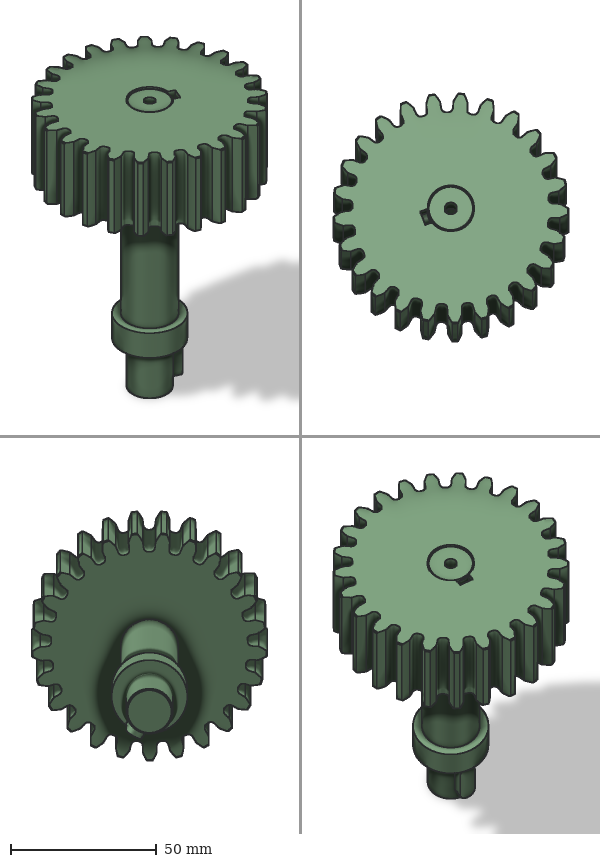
import cadquery as cq
import math

total_height = 117.0
end_diameter = 16.0
collar_diameter = 26.0
body_diameter = 19.9
end_length = 20.0
collar_length = 10.1
shaft_end_chamfer = 0.5
body_top_chamfer = 0.4
collar_fillet_radius = 0.2
center_hole_diameter = 4.2
center_hole_depth = 10.0
drill_point_angle = 118.0

tooth_count = 25
gear_outer_diameter = 81.0
gear_width = 30.1
dedendum_factor = 1.25
root_fillet_radius = 1.6
tip_chamfer = 0.4
space_overrun = 1.2

gear_module = gear_outer_diameter / (tooth_count + 2)
gear_outer_radius = gear_outer_diameter / 2
pitch_radius = gear_module * tooth_count / 2
root_radius = pitch_radius - dedendum_factor * gear_module
half_pitch_angle = math.pi / tooth_count

shoulder_radius = pitch_radius
addendum_middle_radius = (shoulder_radius + gear_outer_radius) / 2
tooth_half_width = 2.5
addendum_half_width = 1.8
tip_half_width = 0.9

gear_bottom = total_height - gear_width

shaft_recess = 0.5
shaft_top = total_height - shaft_recess
collar_top = end_length + collar_length

selection_margin = 0.1
collar_root_reach = (end_diameter + collar_diameter) / 4

gear_key_width = 5.0
gear_key_height = 5.0
gear_key_length = 22.0
gear_key_outer = 10.0
hub_keyway_reach = 10.3
gear_key_middle = (gear_bottom + shaft_top) / 2

drive_key_width = 6.0
drive_key_height = 6.0
drive_key_length = 16.0
drive_key_outer = 11.0
drive_key_shoulder_gap = 1.0
drive_key_middle = end_length - drive_key_shoulder_gap - drive_key_length / 2


def cylinder(diameter, bottom, top):
    return cq.Workplane("XY").workplane(offset=bottom).circle(diameter / 2).extrude(top - bottom)


def make_key(width, height, length, outer, middle):
    """Round-ended key along Z whose outer face lies at y = outer."""
    return (
        cq.Workplane("XZ", origin=(0, outer, middle))
        .slot2D(length, width, 90)
        .extrude(height)
    )


def make_center_hole():
    """Blind hole with a conical drill point in the top of the shaft."""
    radius = center_hole_diameter / 2
    point_depth = radius / math.tan(math.radians(drill_point_angle / 2))
    floor = shaft_top - center_hole_depth
    return (
        cq.Workplane("XZ")
        .moveTo(0, shaft_top)
        .lineTo(radius, shaft_top)
        .lineTo(radius, floor)
        .lineTo(0, floor - point_depth)
        .close()
        .revolve(360, (0, 0, 0), (0, 1, 0))
    )


def make_shaft(keys):
    shaft = cylinder(end_diameter, 0, shaft_top)
    shaft = shaft.faces("<Z or >Z").chamfer(shaft_end_chamfer)
    shaft = shaft.union(cylinder(collar_diameter, end_length, collar_top))
    collar_root = cq.selectors.BoxSelector(
        (-collar_root_reach, -collar_root_reach, end_length - selection_margin),
        (collar_root_reach, collar_root_reach, end_length + selection_margin),
        boundingbox=True,
    )
    shaft = shaft.edges(collar_root).fillet(collar_fillet_radius)
    body = cylinder(body_diameter, collar_top, gear_bottom)
    shaft = shaft.union(body.faces(">Z").chamfer(body_top_chamfer))
    shaft = shaft.cut(make_center_hole())
    for key in keys:
        shaft = shaft.cut(key)
    return shaft


def flank_point(radius, half_width, side):
    """Point on the tooth flank left (-1) or right (1) of the space centred on the -Y axis."""
    angle = side * (half_pitch_angle - math.asin(half_width / radius))
    return radius * math.sin(angle), -radius * math.cos(angle)


def make_tooth_space():
    """Cutter for one tooth space: arced flanks, a straight-sided throat and a rounded root."""
    root_corner_x, root_corner_y = flank_point(root_radius, tooth_half_width, 1)
    outside = gear_outer_radius + space_overrun
    cutter = (
        cq.Workplane("XY")
        .workplane(offset=gear_bottom)
        .moveTo(*flank_point(outside, tip_half_width, -1))
        .lineTo(*flank_point(gear_outer_radius, tip_half_width, -1))
        .threePointArc(
            flank_point(addendum_middle_radius, addendum_half_width, -1),
            flank_point(shoulder_radius, tooth_half_width, -1),
        )
        .lineTo(-root_corner_x, root_corner_y)
        .threePointArc((0, -root_radius), (root_corner_x, root_corner_y))
        .lineTo(*flank_point(shoulder_radius, tooth_half_width, 1))
        .threePointArc(
            flank_point(addendum_middle_radius, addendum_half_width, 1),
            flank_point(gear_outer_radius, tip_half_width, 1),
        )
        .lineTo(*flank_point(outside, tip_half_width, 1))
        .close()
        .extrude(gear_width)
    )
    root_corners = cq.selectors.BoxSelector(
        (-outside, root_corner_y - selection_margin, gear_bottom),
        (outside, root_corner_y + selection_margin, total_height),
    )
    return cutter.edges("|Z").edges(root_corners).fillet(root_fillet_radius)


def make_gear():
    gear = cylinder(gear_outer_diameter, gear_bottom, total_height)
    gear = gear.faces("<Z or >Z").chamfer(tip_chamfer)
    tooth_space = make_tooth_space()
    for i in range(tooth_count):
        gear = gear.cut(tooth_space.rotate((0, 0, 0), (0, 0, 1), i * 360 / tooth_count))
    gear = gear.cut(cylinder(end_diameter, gear_bottom, total_height))
    keyway = (
        cq.Workplane("XY")
        .workplane(offset=gear_bottom)
        .center(0, hub_keyway_reach / 2)
        .rect(gear_key_width, hub_keyway_reach)
        .extrude(gear_width)
    )
    return gear.cut(keyway)


gear_key = make_key(
    gear_key_width, gear_key_height, gear_key_length, gear_key_outer, gear_key_middle
)
drive_key = make_key(
    drive_key_width, drive_key_height, drive_key_length, drive_key_outer, drive_key_middle
)
shaft = make_shaft([gear_key, drive_key])
gear = make_gear()

result = cq.Compound.makeCompound([shaft.val(), gear.val(), gear_key.val(), drive_key.val()])